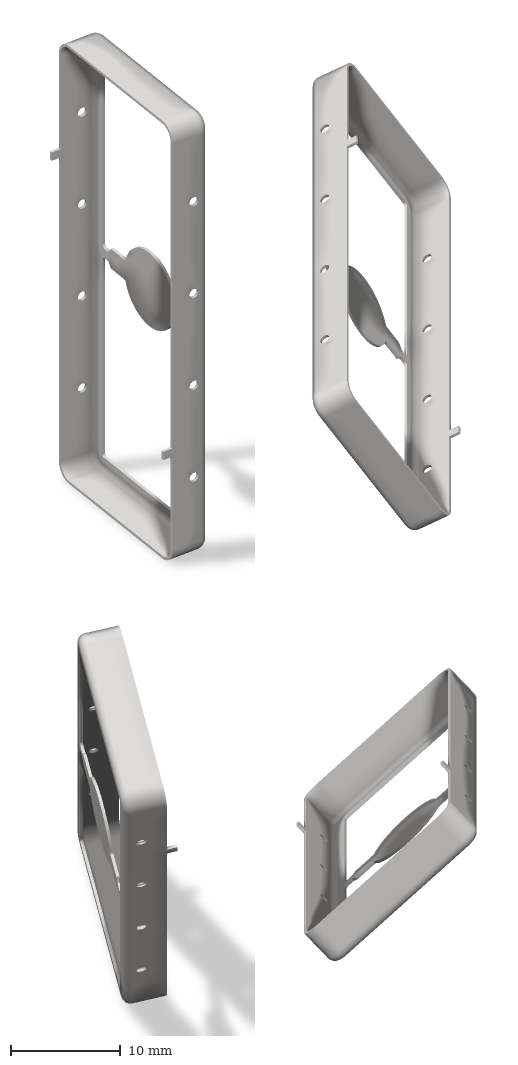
import cadquery as cq

width = 18.2
height = 47.7
depth = 4.0
wall = 0.3
corner_radius = 1.6
back_edge_radius = 0.8
inner_edge_radius = back_edge_radius - wall

lip_width = 1.57
window_corner_radius = 0.25
window_width = width - 2 * lip_width
window_height = height - 2 * lip_width

disc_radius = 4.0
bar_height = 2.15
bar_half_length = 6.2
step_run = 0.4
neck_height = 1.0
neck_end_radius = 0.4
bar_blend_radius = 0.25

hole_diameter = 0.95
hole_pitch = 10.0
hole_count = 4
hole_from_back = 1.6

tab_length = 1.0
tab_height = 0.9
tab_offset = 11.45

back_y = (depth + tab_length) / 2
front_y = back_y - depth
lip_front_y = back_y - wall


def block(size_x, size_z, y_start, y_end):
    """Box centred on X and Z between two Y positions."""
    return cq.Workplane("XZ", origin=(0, y_end, 0)).rect(size_x, size_z).extrude(y_end - y_start)


def rounded_tray(size_x, size_z, y_start, y_end, corner, edge):
    """Block with rounded corners and a rounded back edge."""
    body = block(size_x, size_z, y_start, y_end)
    return body.edges("|Y").fillet(corner).faces(">Y").edges().fillet(edge)


def make_shell():
    """Thin-walled tray, open towards -Y."""
    outside = rounded_tray(width, height, front_y, back_y, corner_radius, back_edge_radius)
    cavity = rounded_tray(
        width - 2 * wall, height - 2 * wall, front_y, lip_front_y,
        corner_radius - wall, inner_edge_radius,
    )
    return outside.cut(cavity)


def make_bar():
    """Bar along X whose sloped steps narrow it to a neck at each end."""
    upper_right = [
        (bar_half_length, bar_height / 2),
        (bar_half_length + step_run, neck_height / 2),
        (window_width / 2, neck_height / 2),
    ]
    lower_right = [(x, -z) for x, z in reversed(upper_right)]
    left = [(-x, -z) for x, z in upper_right + lower_right]
    return (
        cq.Workplane("XZ", origin=(0, back_y, 0))
        .polyline(upper_right + lower_right + left)
        .close()
        .extrude(wall)
    )


def make_window():
    """Window opening, leaving the disc and its stepped bar in place."""
    disc = cq.Workplane("XZ", origin=(0, back_y, 0)).circle(disc_radius).extrude(wall)
    opening = block(window_width, window_height, lip_front_y, back_y)
    opening = opening.cut(make_bar()).cut(disc)
    opening = opening.edges("|Y").edges("not (>X or <X)").fillet(bar_blend_radius)
    neck_ends = cq.selectors.BoxSelector(
        (-width, -depth, -bar_height), (width, depth, bar_height)
    )
    opening = opening.edges("|Y").edges(">X or <X").edges(neck_ends).fillet(neck_end_radius)
    return opening.edges("|Y").edges(">Z or <Z").edges(">X or <X").fillet(window_corner_radius)


def make_side_holes():
    """Row of holes passing through both long walls."""
    return (
        cq.Workplane("YZ", origin=(-width / 2, back_y - hole_from_back, 0))
        .rarray(0.5, hole_pitch, 1, hole_count)
        .circle(hole_diameter / 2)
        .extrude(width)
    )


def make_tab(side):
    """Tab flush with one long wall: side -1 is upper left, +1 is lower right."""
    tab_center = (side * (width - wall) / 2, front_y, -side * tab_offset)
    return cq.Workplane("XY", origin=tab_center).box(wall, 2 * tab_length, tab_height)


result = make_shell().cut(make_window()).cut(make_side_holes())
for side in (-1, 1):
    result = result.union(make_tab(side))